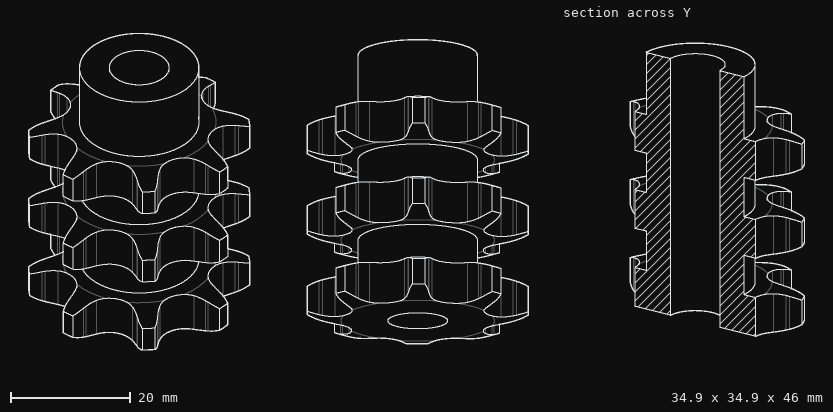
import cadquery as cq
import math

teeth = 8
chain_pitch = 12.7
roller_dia = 8.51
tip_dia = 37.0
tooth_width = 7.0
row_pitch = 13.95
rows = 3
side_radius = 13.0
side_relief = 1.3
hub_dia = 20.0
bore_dia = 10.0
total_height = 46.0
cut_margin = 0.5

tip_radius = tip_dia / 2
pitch_radius = chain_pitch / (2 * math.sin(math.pi / teeth))
tooth_step = 360 / teeth

clearance = 0.0381
seat_radius = 0.5025 * roller_dia + clearance
working_radius = 1.3025 * roller_dia + clearance
working_centre_offset = 0.8 * roller_dia
topping_centre_offset = 1.4 * roller_dia
seat_angle = 35 + 60 / teeth
working_angle = 18 - 56 / teeth
flank_angle = seat_angle - working_angle


def polar(radius, degrees):
    """Vector of the given length and direction in the XY plane."""
    angle = math.radians(degrees)
    return cq.Vector(radius * math.cos(angle), radius * math.sin(angle))


def circle_crossing(centre, radius, outer_radius):
    """Crossing of a circle with one about the origin, on the counterclockwise side."""
    distance = centre.Length
    along = (distance**2 + outer_radius**2 - radius**2) / (2 * distance)
    across = math.sqrt(outer_radius**2 - along**2)
    unit = centre.normalized()
    return unit * along + cq.Vector(-unit.y, unit.x) * across


def gap_cutter():
    """Prism that fills the tooth gap centred on +Y; its outline runs from the root outwards."""
    roller_centre = cq.Vector(0, pitch_radius)
    root = roller_centre + polar(seat_radius, -90)
    seat_mid = roller_centre + polar(seat_radius, -(90 + seat_angle) / 2)
    seat_end = roller_centre + polar(seat_radius, -seat_angle)

    working_centre = roller_centre + polar(working_centre_offset, 180 - seat_angle)
    working_mid = working_centre + polar(working_radius, -seat_angle + working_angle / 2)
    working_end = working_centre + polar(working_radius, -flank_angle)

    topping_centre = roller_centre + polar(topping_centre_offset, -180 / teeth)
    flank_direction = polar(1, 90 - flank_angle)
    flank_length = (topping_centre - working_end).dot(flank_direction)
    flank_end = working_end + flank_direction * flank_length

    topping_radius = (topping_centre - flank_end).Length
    topping_end = circle_crossing(topping_centre, topping_radius, tip_radius + cut_margin)
    chord_mid = (flank_end + topping_end) * 0.5
    topping_mid = topping_centre + (chord_mid - topping_centre).normalized() * topping_radius

    half_gap = (
        cq.Workplane("XY")
        .moveTo(root.x, root.y)
        .threePointArc(seat_mid, seat_end)
        .threePointArc(working_mid, working_end)
        .lineTo(flank_end.x, flank_end.y)
        .threePointArc(topping_mid, topping_end)
        .lineTo(topping_end.x, tip_radius + cut_margin)
        .lineTo(0, tip_radius + cut_margin)
    )
    return half_gap.mirrorY().extrude(tooth_width)


def toothed_blank():
    """Disc with tooth sides rounded from its flat faces down to the tip."""
    arc_axial = side_radius - side_relief
    arc_radial = math.sqrt(side_radius**2 - arc_axial**2)
    flat_radius = tip_radius - arc_radial
    half_sweep = math.asin(arc_radial / side_radius) / 2
    mid_radius = flat_radius + side_radius * math.sin(half_sweep)
    mid_relief = side_radius * (1 - math.cos(half_sweep))
    return (
        cq.Workplane("XZ")
        .lineTo(flat_radius, 0)
        .threePointArc((mid_radius, mid_relief), (tip_radius, side_relief))
        .lineTo(tip_radius, tooth_width - side_relief)
        .threePointArc((mid_radius, tooth_width - mid_relief), (flat_radius, tooth_width))
        .lineTo(0, tooth_width)
        .close()
        .revolve(360, (0, 0), (0, 1))
    )


def tooth_row():
    """One row of teeth, with its lower face at Z = 0."""
    row = toothed_blank()
    cutter = gap_cutter()
    for index in range(teeth):
        row = row.cut(cutter.rotate((0, 0, 0), (0, 0, 1), index * tooth_step))
    return row


def sprocket():
    body = cq.Workplane("XY").circle(hub_dia / 2).extrude(total_height)
    row = tooth_row()
    for index in range(rows):
        body = body.union(row.translate((0, 0, index * row_pitch)))
    bore = cq.Workplane("XY").circle(bore_dia / 2).extrude(total_height)
    return body.cut(bore)


result = sprocket()